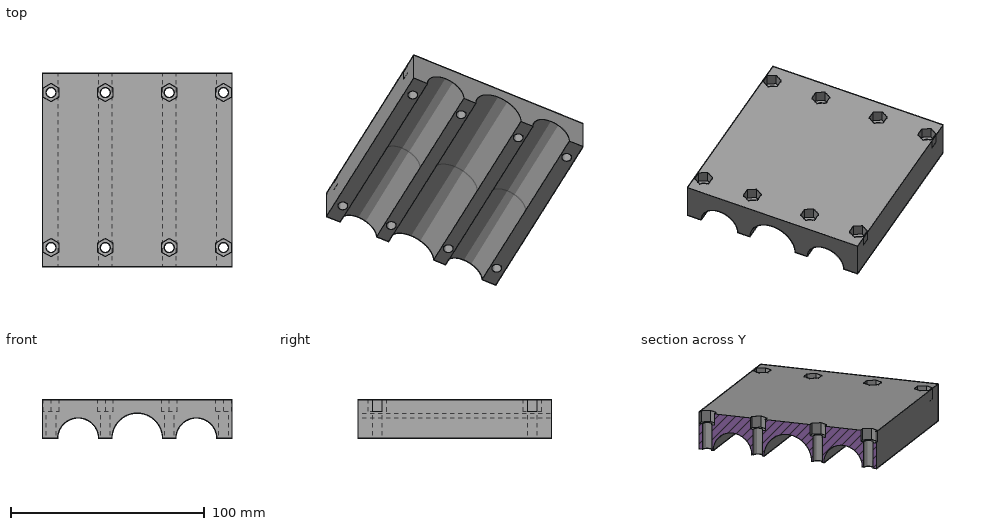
import cadquery as cq
import math

width = 98.0
length = 100.0
height = 20.0

middle_radius = 13.0
side_radius = 10.5
side_offset = 30.5

bolt_offset = 14.0
bolt_row_y = 40.0
bolt_diameter = 5.0
nut_across_flats = 8.1
nut_depth = 6.0

nut_across_corners = nut_across_flats / math.cos(math.pi / 6)
bolt_points = [
    (side * side_offset + step * bolt_offset, row * bolt_row_y)
    for side in (-1, 1)
    for step in (-1, 1)
    for row in (-1, 1)
]


def channel(x, radius):
    """Cylinder running the full length of the block."""
    return cq.Workplane("XZ").center(x, 0).circle(radius).extrude(length / 2, both=True)


def bolt_holes():
    return cq.Workplane("XY").pushPoints(bolt_points).circle(bolt_diameter / 2).extrude(height)


def nut_pockets():
    """Hexagons with corners pointing along Y, open at the top face."""
    quarter_turned = cq.Plane(origin=(0, 0, height - nut_depth), xDir=(0, 1, 0), normal=(0, 0, 1))
    turned_points = [(y, -x) for x, y in bolt_points]
    return (
        cq.Workplane(quarter_turned)
        .pushPoints(turned_points)
        .polygon(6, nut_across_corners)
        .extrude(nut_depth)
    )


result = cq.Workplane("XY").box(width, length, height, centered=(True, True, False))
result = result.cut(channel(0, middle_radius))
for side in (-1, 1):
    result = result.cut(channel(side * side_offset, side_radius))
result = result.cut(bolt_holes()).cut(nut_pockets())